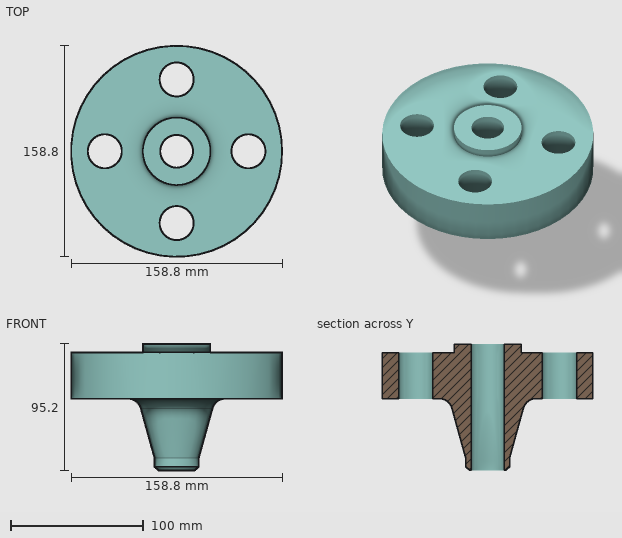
import cadquery as cq
import math

total_height = 95.2
raised_face_height = 6.4
flange_thickness = 35.0
weld_end_height = 9.5
bevel_height = 2.9

flange_radius = 158.8 / 2
raised_face_radius = 25.4
bore_diameter = 24.5
weld_end_radius = 16.7
bevel_end_radius = 13.3
fillet_radius = 9.5
taper_angle = math.radians(15.5)

bolt_count = 4
bolt_diameter = 25.4
bolt_circle_radius = 54.0

flange_top = total_height - raised_face_height
flange_bottom = flange_top - flange_thickness

fillet_center_z = flange_bottom - fillet_radius
hub_top = fillet_center_z + fillet_radius * math.sin(taper_angle)
hub_radius = weld_end_radius + (hub_top - weld_end_height) * math.tan(taper_angle)
fillet_center_r = hub_radius + fillet_radius * math.cos(taper_angle)
mid_angle = (taper_angle + math.pi / 2) / 2
fillet_middle = (
    fillet_center_r - fillet_radius * math.cos(mid_angle),
    fillet_center_z + fillet_radius * math.sin(mid_angle),
)


def revolved_body():
    """Flange, raised face and welding neck as one half profile turned about Z."""
    return (
        cq.Workplane("XZ")
        .moveTo(0, 0)
        .lineTo(bevel_end_radius, 0)
        .lineTo(weld_end_radius, bevel_height)
        .lineTo(weld_end_radius, weld_end_height)
        .lineTo(hub_radius, hub_top)
        .threePointArc(fillet_middle, (fillet_center_r, flange_bottom))
        .lineTo(flange_radius, flange_bottom)
        .lineTo(flange_radius, flange_top)
        .lineTo(raised_face_radius, flange_top)
        .lineTo(raised_face_radius, total_height)
        .lineTo(0, total_height)
        .close()
        .revolve(360, (0, 0, 0), (0, 1, 0))
    )


def bore():
    """Through bore along the axis."""
    return cq.Workplane("XY").circle(bore_diameter / 2).extrude(total_height)


def bolt_holes():
    """Through holes on the bolt circle, the first one on +X."""
    return (
        cq.Workplane("XY")
        .workplane(offset=flange_bottom)
        .polarArray(bolt_circle_radius, 0, 360, bolt_count)
        .circle(bolt_diameter / 2)
        .extrude(flange_thickness)
    )


result = revolved_body().cut(bore()).cut(bolt_holes())